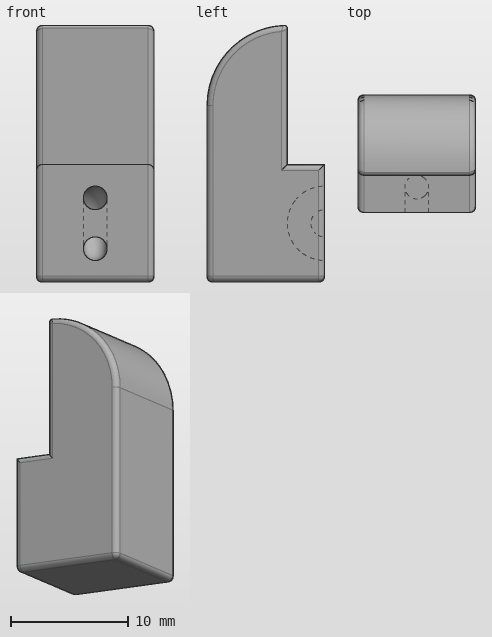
import cadquery as cq
import math

width = 10.0
depth = 10.0
height = 21.85

upright_thickness = 6.84
block_height = 10.0

edge_radius = 0.5
crest_edge_radius = 0.25

opening_diameter = 2.0
opening_spacing = 4.33
channel_center_z = block_height / 2

front_y = -depth / 2
back_y = depth / 2
upright_front_y = back_y - upright_thickness

crest_radius = upright_thickness
rounding_center_rise = math.sqrt((crest_radius - crest_edge_radius) ** 2 - crest_edge_radius**2)
crest_start_z = height - rounding_center_rise - crest_edge_radius
sharp_crest_z = crest_start_z + crest_radius


def make_body():
    """Extrude the stepped side profile across the width, centred on X."""
    return (
        cq.Workplane("YZ")
        .moveTo(front_y, 0)
        .lineTo(back_y, 0)
        .lineTo(back_y, crest_start_z)
        .radiusArc((upright_front_y, sharp_crest_z), -crest_radius)
        .lineTo(upright_front_y, block_height)
        .lineTo(front_y, block_height)
        .close()
        .extrude(width / 2, both=True)
    )


def round_edges(body):
    """Round the front edge of the crest, then the side outlines and the base outline."""
    crest_edge = cq.selectors.NearestToPointSelector((0, upright_front_y, sharp_crest_z))
    body = body.edges(crest_edge).fillet(crest_edge_radius)
    return body.faces("<X or >X or <Z").edges().fillet(edge_radius)


def make_channel():
    """Make a ring about an X axis lying in the front face; its rear half is the channel."""
    bend_radius = opening_spacing / 2
    return (
        cq.Workplane("XZ", origin=(0, front_y, channel_center_z))
        .center(0, bend_radius)
        .circle(opening_diameter / 2)
        .revolve(360, (0, -bend_radius), (1, -bend_radius))
    )


result = round_edges(make_body()).cut(make_channel())